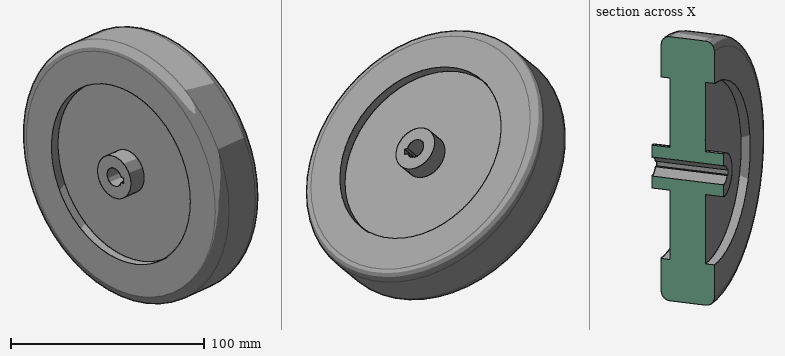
import cadquery as cq

wheel_diameter = 144.0
tyre_width = 30.0
edge_radius = 5.0

recess_diameter = 98.5
recess_depth = 5.0

hub_diameter = 23.6
hub_length = 40.0
bore_diameter = 10.1
keyway_width = 3.0
keyway_reach = 6.5


def disc(diameter, width, center_y=0.0):
    """Cylinder along Y, centred on center_y."""
    return (
        cq.Workplane("XZ", origin=(0, center_y + width / 2, 0))
        .circle(diameter / 2)
        .extrude(width)
    )


wheel = disc(wheel_diameter, tyre_width).edges().fillet(edge_radius)

for side in (-1, 1):
    recess_center = side * (tyre_width - recess_depth) / 2
    wheel = wheel.cut(disc(recess_diameter, recess_depth, recess_center))

wheel = wheel.union(disc(hub_diameter, hub_length))

keyway = cq.Workplane("XY").box(
    keyway_reach, hub_length, keyway_width, centered=(False, True, True)
)
result = wheel.cut(disc(bore_diameter, hub_length)).cut(keyway)